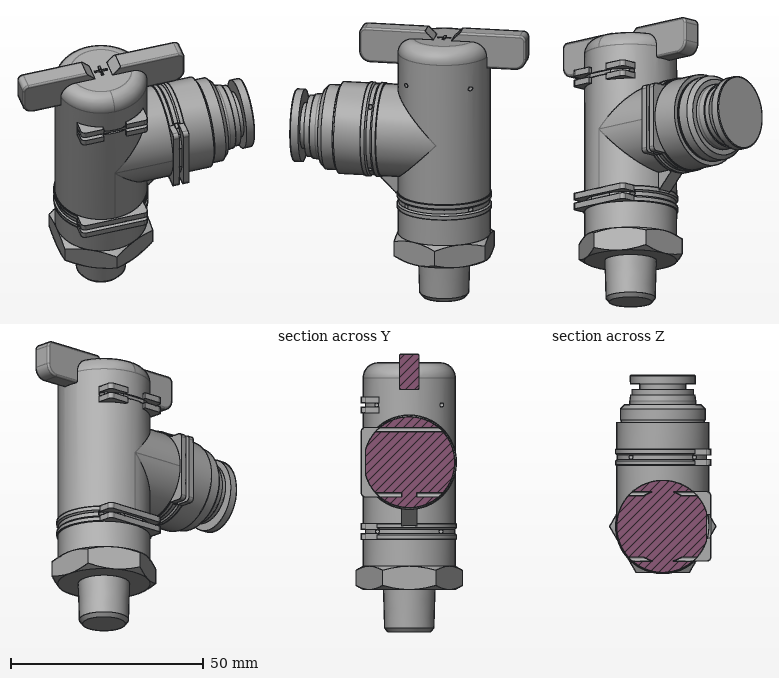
import cadquery as cq
import math


total_height = 72.3
body_radius = 12.0

thread_length = 11.05
thread_root_radius = 6.7
thread_tip_radius = 6.4
thread_nose_radius = 5.6
thread_nose_height = 1.1
hex_across_flats = 2 * body_radius
hex_height = 6.1
hex_chamfer_angle = 30.0

body_top = 70.05
cap_radius = 4.0
body_base = thread_length + hex_height

branch_height = 44.2
branch_end = 27.05
gusset_reach = 16.7
gusset_thickness = 4.0

neck_radius, neck_end = 10.85, 27.6
collar_radius, collar_end = 11.05, 31.7
collar_chamfer = 1.1
taper_start_radius, taper_start = 8.6, 32.6
taper_end_radius, taper_end = 8.4, 34.2
sleeve_radius, sleeve_end = 8.0, 35.65
stem_radius, stem_end = 6.0, 37.1
flange_half_width = 8.45
flange_half_height = 9.55
flange_end = 39.3
flange_chamfer = 0.2

seat_length = 4.2
lug_reach = 12.5
lug_half_width = 9.05
lug_corner_radius = 1.1
lug_slot_reach = 11.4
slot_width = 1.1
rib_radius = 12.3
rib_floor_radius = 11.85
rib_rim_bevel = 0.15
pin_diameter = 1.0
pin_offset = body_radius / math.sqrt(2)
core_radius = 9.4
lower_seat_height = 26.2
upper_seat_height = 59.1
branch_seat_distance = 18.0
lug_notch_width = 6.15

handle_half_length = 22.0
handle_width = 5.1
handle_bottom = 63.05
handle_gap_top = 4.6
handle_top_radius = 1.5
handle_bottom_radius = 3.0
handle_edge_radius = 0.5

cross_length = 3.5
cross_width = 0.6


def onto_branch(shape):
    """Turn a shape built around Z so that its axis becomes the branch axis along +Y."""
    return shape.rotate((0, 0, 0), (1, 0, 0), -90).translate((0, 0, branch_height))


def revolve_profile(points):
    """Revolve a closed (radius, height) outline about Z."""
    return cq.Workplane("XZ").polyline(points).close().revolve(360, (0, 0), (0, 1))


def disc(radius, bottom, top):
    return cq.Workplane("XY").workplane(offset=bottom).circle(radius).extrude(top - bottom)


def threaded_end():
    return revolve_profile([
        (0, 0),
        (thread_nose_radius, 0),
        (thread_tip_radius, thread_nose_height),
        (thread_root_radius, thread_length),
        (0, thread_length),
    ])


def hex_nut():
    corner_radius = hex_across_flats / math.sqrt(3)
    prism = cq.Workplane("XY").polygon(6, 2 * corner_radius).extrude(hex_height)
    drop = (corner_radius - body_radius) * math.tan(math.radians(hex_chamfer_angle))
    envelope = revolve_profile([
        (0, 0),
        (body_radius, 0),
        (corner_radius, drop),
        (corner_radius, hex_height - drop),
        (body_radius, hex_height),
        (0, hex_height),
    ])
    return prism.intersect(envelope).translate((0, 0, thread_length))


def vertical_body():
    return disc(body_radius, body_base, body_top).faces(">Z").edges().fillet(cap_radius)


def tube_fitting():
    turned = revolve_profile([
        (0, 0),
        (body_radius, 0),
        (body_radius, branch_end),
        (neck_radius, branch_end),
        (neck_radius, neck_end),
        (collar_radius, neck_end),
        (collar_radius, collar_end - collar_chamfer),
        (collar_radius - collar_chamfer, collar_end),
        (taper_start_radius, collar_end),
        (taper_start_radius, taper_start),
        (taper_end_radius, taper_end),
        (sleeve_radius, taper_end),
        (sleeve_radius, sleeve_end),
        (stem_radius, sleeve_end),
        (stem_radius, stem_end),
        (0, stem_end),
    ])
    flange = (
        cq.Workplane("XY")
        .workplane(offset=stem_end)
        .ellipse(flange_half_width, flange_half_height)
        .extrude(flange_end - stem_end)
        .faces(">Z").edges().chamfer(flange_chamfer)
    )
    return turned.union(flange)


def gusset():
    """Web at 45 degrees in the corner under the branch, running well into both bodies."""
    slope_bottom = branch_height - body_radius - gusset_reach
    return (
        cq.Workplane("YZ")
        .polyline([
            (0, slope_bottom),
            (branch_height - slope_bottom, branch_height),
            (0, branch_height),
        ])
        .close()
        .extrude(gusset_thickness / 2, both=True)
    )


def seat_slab():
    """Thin slab across the clip slot, from the Z axis towards +X, centred on Z = 0."""
    return cq.Workplane("XY").box(
        2 * body_radius, 4 * body_radius, slot_width, centered=(False, True, True)
    )


def seat_lug():
    """Rectangular lug on the +X side, parted by the clip slot and centred on Z = 0."""
    return (
        cq.Workplane("XY")
        .box(lug_reach, 2 * lug_half_width, seat_length, centered=(False, True, True))
        .edges("|Z and >X").fillet(lug_corner_radius)
        .cut(seat_slab())
    )


def notched_lug():
    """Lug with a gap in its middle, down to the body surface."""
    gap = cq.Workplane("XY").box(
        2 * body_radius, lug_notch_width, 2 * seat_length, centered=(False, True, True)
    )
    return seat_lug().cut(gap)


def seat_flat():
    """Flat that the clip slot leaves on the outermost part of the body."""
    return seat_slab().translate((lug_slot_reach, 0, 0))


def seat_band():
    """Raised band with bevelled rims around the body, centred on Z = 0."""
    half = seat_length / 2
    return disc(rib_radius, -half, half).edges().chamfer(rib_rim_bevel)


def seat_groove():
    """Groove with sloped sides that parts the band into two ribs, centred on Z = 0."""
    floor = slot_width / 2
    slope = lug_reach - rib_floor_radius
    return revolve_profile([
        (rib_floor_radius, -floor),
        (lug_reach, -floor - slope),
        (lug_reach, floor + slope),
        (rib_floor_radius, floor),
    ])


def pin_holes():
    """Two holes along X that break out through the sides of the body."""
    return (
        cq.Workplane("YZ")
        .pushPoints([(-pin_offset, 0), (pin_offset, 0)])
        .circle(pin_diameter / 2)
        .extrude(lug_reach, both=True)
    )


def body_pin_holes():
    """Pin holes that stop against the solid core of the vertical body."""
    return pin_holes().cut(disc(core_radius, -pin_diameter, pin_diameter))


def handle_half():
    """One wing of the handle, on the +Y side, with a 45 degree inner end."""
    gap_bottom = handle_gap_top - (total_height - body_top)
    top_start = handle_half_length - handle_top_radius
    bottom_start = handle_half_length - handle_bottom_radius
    blank = (
        cq.Workplane("YZ")
        .moveTo(gap_bottom, handle_bottom)
        .lineTo(bottom_start, handle_bottom)
        .radiusArc((handle_half_length, handle_bottom + handle_bottom_radius), -handle_bottom_radius)
        .lineTo(handle_half_length, total_height - handle_top_radius)
        .radiusArc((top_start, total_height), -handle_top_radius)
        .lineTo(handle_gap_top, total_height)
        .lineTo(gap_bottom, body_top)
        .close()
        .extrude(handle_width / 2, both=True)
    )
    outside_inner_end = cq.selectors.BoxSelector(
        (-handle_width, handle_gap_top, 0),
        (handle_width, 2 * handle_half_length, 2 * total_height),
    )
    return blank.faces("<X or >X").edges(outside_inner_end).fillet(handle_edge_radius)


def cross_recess():
    """Two crossed V-shaped cuts, deepest at the centre."""
    half = cross_length / 2
    arm = (
        cq.Workplane("XZ")
        .polyline([(-half, body_top), (half, body_top), (0, body_top - half)])
        .close()
        .extrude(cross_width / 2, both=True)
    )
    return arm.union(arm.rotate((0, 0, 0), (0, 0, 1), 90))


lower_seat = (0, 0, lower_seat_height)
upper_seat = (0, 0, upper_seat_height)
branch_seat = (0, 0, branch_seat_distance)

body = threaded_end().union(hex_nut()).union(vertical_body())
body = body.union(seat_band().translate(lower_seat))
body = body.cut(seat_groove().translate(lower_seat))
for seat, lug in ((lower_seat, seat_lug()), (upper_seat, notched_lug())):
    body = body.cut(seat_flat().translate(seat))
    body = body.union(lug.translate(seat))
    body = body.cut(body_pin_holes().translate(seat))

branch = tube_fitting().union(seat_band().translate(branch_seat))
branch = branch.cut(seat_groove().translate(branch_seat))
branch = branch.cut(seat_flat().translate(branch_seat))
branch = branch.union(seat_lug().translate(branch_seat))
branch = branch.cut(pin_holes().translate(branch_seat))

wing = handle_half()
result = body.union(onto_branch(branch))
for added_part in (gusset(), wing, wing.mirror("XZ")):
    result = result.union(added_part, clean=False)
result = result.cut(cross_recess(), clean=False)